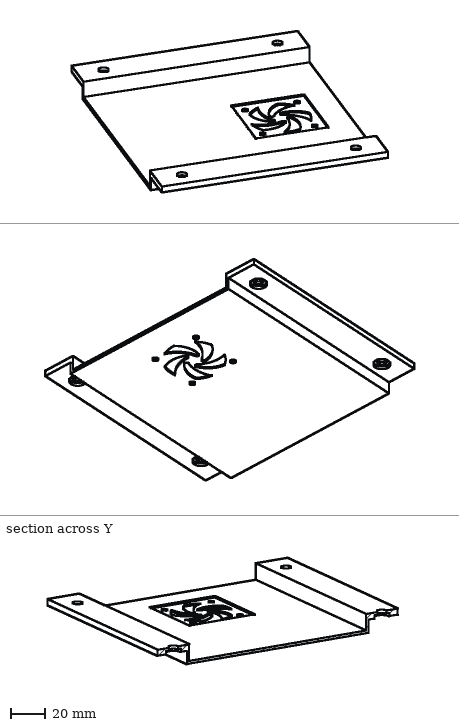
import cadquery as cq
import math

length = 165.0
width = 140.0
height = 12.0

flange_thickness = 4.0
flange_width = 22.0
sheet_thickness = 2.0

mount_hole_diameter = 6.0
mount_counterbore_diameter = 10.0
mount_counterbore_depth = 2.0
mount_spacing_x = length - flange_width
mount_spacing_y = 107.5

fan_center_y = 31.0
fan_seat_size = 45.0
fan_seat_depth = 1.0
fan_hole_diameter = 3.5
fan_hole_spacing = 32.2

vent_count = 5
vent_outer_radius = 18.5
vent_lead_angle = 93.0
vent_tip_angle = 61.5
vent_convex_middle = (-6.3, 8.7)
vent_inner_left = (-6.1, 2.6)
vent_inner_end = (-4.6, 1.6)
vent_inner_right = (-3.5, 3.0)
vent_concave_middle = (0.3, 10.0)


def make_tray():
    """Recessed sheet with a vertical wall and a thicker flange on each side."""
    half_length = length / 2
    inner_x = half_length - flange_width
    wall_x = inner_x + sheet_thickness
    flange_bottom = height - flange_thickness
    right_half = [
        (wall_x, 0),
        (wall_x, flange_bottom),
        (half_length, flange_bottom),
        (half_length, height),
        (inner_x, height),
        (inner_x, sheet_thickness),
    ]
    left_half = [(-x, z) for x, z in reversed(right_half)]
    profile = cq.Workplane("XZ").polyline(right_half + left_half).close()
    return profile.extrude(width / 2, both=True)


def make_mount_holes():
    """Through holes in the flanges, counterbored from the underside."""
    through_holes = make_mount_pins(mount_hole_diameter, flange_thickness)
    counterbores = make_mount_pins(mount_counterbore_diameter, mount_counterbore_depth)
    return through_holes.union(counterbores)


def make_mount_pins(diameter, depth):
    """Cylinders at the mounting positions, rising from the flange underside."""
    return (
        cq.Workplane("XY", origin=(0, 0, height - flange_thickness))
        .rect(mount_spacing_x, mount_spacing_y, forConstruction=True)
        .vertices()
        .circle(diameter / 2)
        .extrude(depth)
    )


def make_fan_seat():
    """Shallow square recess in the upper face of the sheet."""
    return (
        cq.Workplane("XY", origin=(0, fan_center_y, sheet_thickness - fan_seat_depth))
        .rect(fan_seat_size, fan_seat_size)
        .extrude(fan_seat_depth)
    )


def make_fan_holes():
    return (
        cq.Workplane("XY", origin=(0, fan_center_y, 0))
        .rect(fan_hole_spacing, fan_hole_spacing, forConstruction=True)
        .vertices()
        .circle(fan_hole_diameter / 2)
        .extrude(sheet_thickness)
    )


def outer_circle_point(angle):
    radians = math.radians(angle)
    return (vent_outer_radius * math.cos(radians), vent_outer_radius * math.sin(radians))


def make_vent(rotation):
    """Blade-shaped opening, turned about the fan center."""
    lead_corner = outer_circle_point(vent_lead_angle)
    outer_middle = outer_circle_point((vent_lead_angle + vent_tip_angle) / 2)
    tip_corner = outer_circle_point(vent_tip_angle)
    vent = (
        cq.Workplane("XY")
        .moveTo(*lead_corner)
        .threePointArc(vent_convex_middle, vent_inner_left)
        .threePointArc(vent_inner_end, vent_inner_right)
        .threePointArc(vent_concave_middle, tip_corner)
        .threePointArc(outer_middle, lead_corner)
        .close()
        .extrude(sheet_thickness)
    )
    return vent.rotate((0, 0, 0), (0, 0, 1), rotation).translate((0, fan_center_y, 0))


result = make_tray().cut(make_mount_holes()).cut(make_fan_seat()).cut(make_fan_holes())
for index in range(vent_count):
    result = result.cut(make_vent(index * 360 / vent_count))